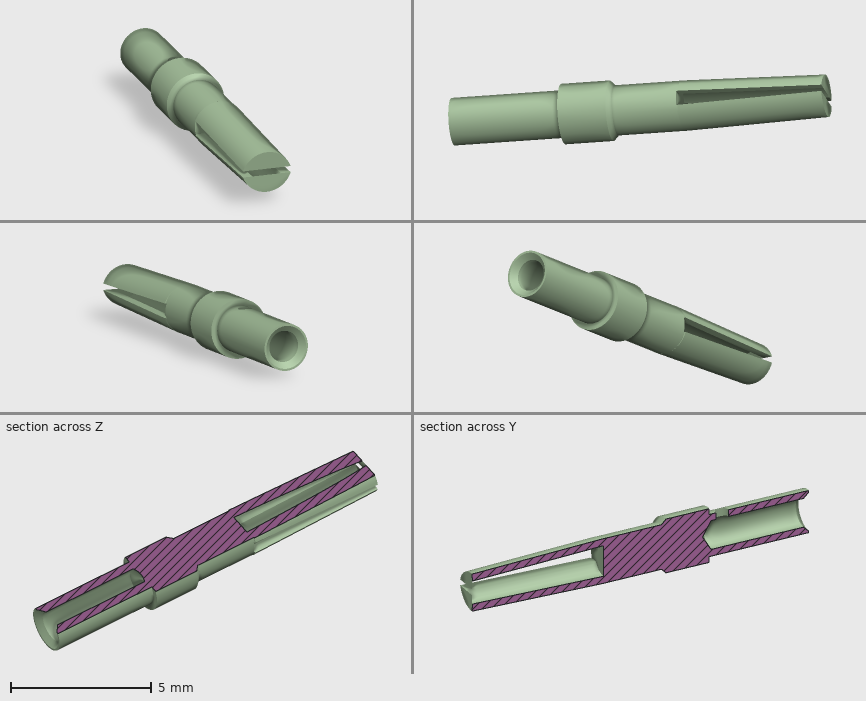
import cadquery as cq
import math

length = 13.61
barrel_diameter = 1.7
collar_start = 4.01
collar_diameter = 2.16
collar_end = 5.96
collar_chamfer = 0.19
socket_diameter = 1.8

wire_bore_diameter = 1.13
wire_mouth_diameter = 1.55
wire_mouth_depth = 0.22
wire_bore_depth = 3.95
drill_point_angle = 118.0
inspection_hole_diameter = 0.5
inspection_hole_x = 3.5

slot_start = 8.3
tine_start = 8.37
slot_width = 0.53
tine_tip_drop = 0.15
socket_bore_diameter = 1.2
tine_length = math.hypot(length - tine_start, tine_tip_drop)
tine_angle = math.degrees(math.atan2(tine_tip_drop, length - tine_start))


def cylinder_along_x(diameter, start, end):
    return cq.Workplane("YZ", origin=(start, 0, 0)).circle(diameter / 2).extrude(end - start)


def make_body():
    barrel = cylinder_along_x(barrel_diameter, 0, collar_start)
    collar = cylinder_along_x(collar_diameter, collar_start, collar_end)
    collar = collar.faces(">X").chamfer(collar_chamfer)
    socket_root = cylinder_along_x(socket_diameter, collar_end, tine_start)
    return barrel.union(collar).union(socket_root)


def make_wire_bore():
    bore_radius = wire_bore_diameter / 2
    point_depth = bore_radius / math.tan(math.radians(drill_point_angle / 2))
    profile = [
        (0, 0),
        (0, wire_mouth_diameter / 2),
        (wire_mouth_depth, bore_radius),
        (wire_bore_depth, bore_radius),
        (wire_bore_depth + point_depth, 0),
    ]
    return cq.Workplane("XY").polyline(profile).close().revolve(360, (0, 0, 0), (1, 0, 0))


def make_inspection_hole():
    hole = cq.Workplane("XY").center(inspection_hole_x, 0).circle(inspection_hole_diameter / 2)
    return hole.extrude(barrel_diameter)


def make_upper_tine():
    socket_radius = socket_diameter / 2
    slot_face = slot_width / 2
    tine = (
        cq.Workplane("YZ", origin=(tine_start, 0, 0))
        .moveTo(-socket_radius, slot_face)
        .threePointArc((0, socket_radius), (socket_radius, slot_face))
        .close()
        .extrude(tine_length)
    )
    tine = tine.cut(cylinder_along_x(socket_bore_diameter, tine_start, length))
    pivot = (tine_start, 0, socket_radius)
    pivot_end = (tine_start, 1, socket_radius)
    return tine.rotate(pivot, pivot_end, tine_angle)


body = make_body().cut(make_wire_bore()).cut(make_inspection_hole())

body = body.cut(cylinder_along_x(socket_bore_diameter, slot_start, tine_start))
slot_root = cq.Workplane("XY", origin=(slot_start, 0, 0)).box(
    tine_start - slot_start, socket_diameter, slot_width, centered=(False, True, True)
)
body = body.cut(slot_root)

upper_tine = make_upper_tine()
lower_tine = upper_tine.mirror("XY")
result = body.union(upper_tine).union(lower_tine)